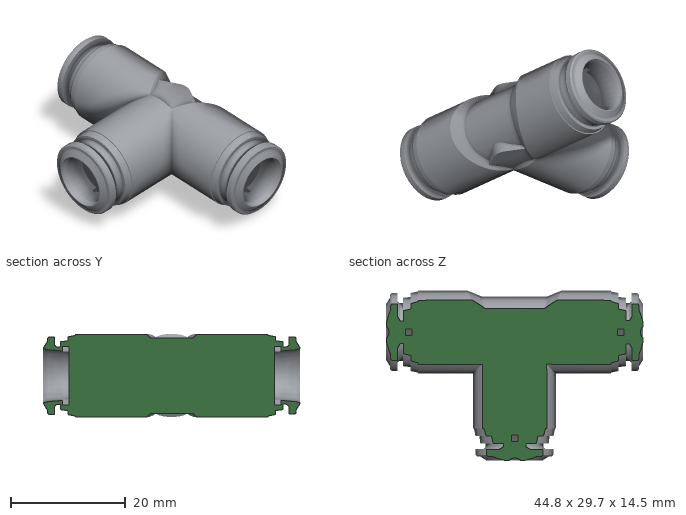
import cadquery as cq
import math

PORT_REACH = 22.4
BODY_RADIUS = 7.25
BODY_END = 16.8

BODY_EDGE_RADIUS = 7.1
CAP_END, CAP_TIP_RADIUS = 18.1, 6.8
SLEEVE_END, SLEEVE_RADIUS, SLEEVE_TIP_RADIUS = 19.4, 6.15, 5.95
NECK_END, NECK_RADIUS = 20.0, 5.0
COLLAR_START, COLLAR_END, COLLAR_RADIUS = 20.4, 21.7, 6.75
COLLAR_ROOT_RADIUS = 5.35
COLLAR_CHAMFER = 0.22
NOSE_BASE_RADIUS, NOSE_TIP_RADIUS = 6.0, 4.85

MOUTH_RADIUS, MOUTH_DEPTH = 4.7, 0.8
BORE_RADIUS, BORE_BOTTOM_RADIUS = 4.5, 4.15
BORE_DEPTH = 4.5
SLOT_WIDTH = 1.08
SLOT_LENGTH = 1.08
SLOT_RADIUS = NECK_RADIUS

WAIST_RADIUS = 6.23
MITRE = 2.8
RUN_FACE_X = 4.3
RUN_SHOULDER = 2.0
RUN_SHOULDER_TAPER = 51.0
BRANCH_SHOULDER = 1.35

PAD_HEIGHT = 6.65
PAD_DRAFT = 13.0
PAD_SIDE_X, PAD_SIDE_Y = 4.55, 1.45
PAD_CROWN_X, PAD_CROWN_Y = 1.45, 3.15
PAD_TOP_Y = 3.55


def turned(outline):
    """Solid of revolution about Z from (radius, height) points."""
    return cq.Workplane("XZ").polyline(outline).close().revolve(360, (0, 0), (0, 1))


def port_end():
    """Stepped end of a port, turned about Z and pointing up."""
    outline = [
        (0, BODY_END),
        (BODY_EDGE_RADIUS, BODY_END),
        (CAP_TIP_RADIUS, CAP_END),
        (SLEEVE_RADIUS, CAP_END),
        (SLEEVE_TIP_RADIUS, SLEEVE_END),
        (NECK_RADIUS, SLEEVE_END),
        (NECK_RADIUS, NECK_END),
        (COLLAR_ROOT_RADIUS, COLLAR_START),
        (COLLAR_RADIUS, COLLAR_START),
        (COLLAR_RADIUS, COLLAR_END - COLLAR_CHAMFER),
        (COLLAR_RADIUS - COLLAR_CHAMFER, COLLAR_END),
        (NOSE_BASE_RADIUS, COLLAR_END),
        (NOSE_TIP_RADIUS, PORT_REACH),
        (0, PORT_REACH),
    ]
    return turned(outline)


def port_bore():
    """Blind bore with a flared mouth, turned about Z, plus a pair of slots along X."""
    outline = [
        (0, PORT_REACH),
        (MOUTH_RADIUS, PORT_REACH),
        (BORE_RADIUS, PORT_REACH - MOUTH_DEPTH),
        (BORE_BOTTOM_RADIUS, PORT_REACH - BORE_DEPTH),
        (0, PORT_REACH - BORE_DEPTH),
    ]
    bore = turned(outline)
    bottom = cq.Workplane("XY", origin=(0, 0, PORT_REACH - BORE_DEPTH))
    return bore.union(bottom.rect(2 * SLOT_RADIUS, SLOT_WIDTH).extrude(SLOT_LENGTH))


def aim_left(shape):
    """Turn a shape pointing along +Z to point along -X."""
    return shape.rotate((0, 0, 0), (0, 1, 0), -90)


def aim_right(shape):
    """Turn a shape pointing along +Z to point along +X."""
    return shape.rotate((0, 0, 0), (0, 1, 0), 90)


def aim_front(shape):
    """Turn a shape pointing along +Z to point along -Y, its X axis staying vertical."""
    return aim_left(shape).rotate((0, 0, 0), (0, 0, 1), 90)


def left_run_body():
    """Run cylinder cut off by a slanted vertical face, with a tapered shoulder beyond it."""
    lean = math.atan2(RUN_FACE_X - MITRE, MITRE)
    inward = cq.Vector(math.cos(lean), math.sin(lean), 0)
    along = cq.Vector(-math.sin(lean), math.cos(lean), 0)
    face = cq.Plane(origin=(-RUN_FACE_X, 0, 0), xDir=along, normal=inward)

    cylinder = (
        cq.Workplane("YZ", origin=(-BODY_END, 0, 0))
        .circle(BODY_RADIUS)
        .extrude(BODY_END + BODY_RADIUS)
    )
    cutter_size = 4 * BODY_RADIUS
    hub_side = cq.Workplane(face).rect(cutter_size, cutter_size).extrude(cutter_size)
    shoulder = (
        cq.Workplane(face)
        .ellipse(BODY_RADIUS / math.cos(lean), BODY_RADIUS)
        .extrude(RUN_SHOULDER, taper=RUN_SHOULDER_TAPER)
    )
    return cylinder.cut(hub_side).union(shoulder)


def branch_body():
    """Branch cylinder with a conical shoulder where it meets the hub."""
    outline = [
        (0, MITRE - BRANCH_SHOULDER),
        (BODY_RADIUS - BRANCH_SHOULDER, MITRE - BRANCH_SHOULDER),
        (BODY_RADIUS, MITRE),
        (BODY_RADIUS, BODY_END),
        (0, BODY_END),
    ]
    return aim_front(turned(outline))


def top_pad():
    """Drafted pad with a rounded crown."""
    return (
        cq.Workplane("XY", origin=(0, 0, PAD_HEIGHT))
        .moveTo(-MITRE, -MITRE)
        .lineTo(MITRE, -MITRE)
        .lineTo(PAD_SIDE_X, PAD_SIDE_Y)
        .lineTo(PAD_CROWN_X, PAD_CROWN_Y)
        .threePointArc((0, PAD_TOP_Y), (-PAD_CROWN_X, PAD_CROWN_Y))
        .lineTo(-PAD_SIDE_X, PAD_SIDE_Y)
        .close()
        .extrude(-PAD_HEIGHT, taper=-PAD_DRAFT)
    )


left_run = left_run_body()
result = cq.Workplane("YZ").circle(WAIST_RADIUS).extrude(BODY_END / 2, both=True)
result = result.union(left_run).union(left_run.mirror("YZ")).union(branch_body())

pad = top_pad()
result = result.union(pad).union(pad.mirror("XY"))

for aim in (aim_left, aim_right, aim_front):
    result = result.union(aim(port_end())).cut(aim(port_bore()))